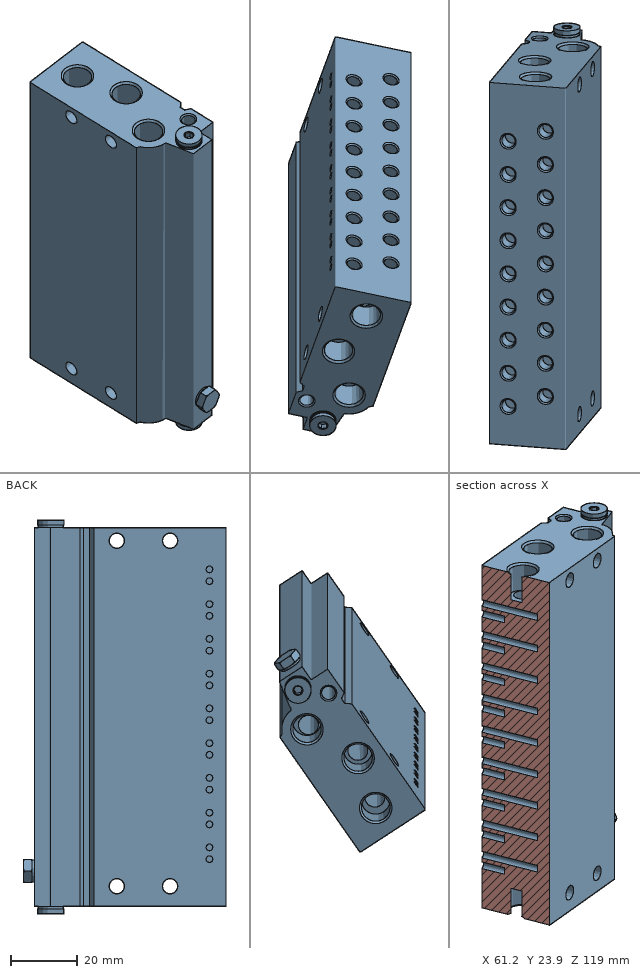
import cadquery as cq
import math

block_width = 57.9
block_depth = 23.9
block_height = 114.5
rear_face_end = 53.0
ledge_y = 17.9
ledge_front_y = 9.6
slope_start = (48.5, 7.6)
front_face_end = 43.3
lobe_end = (43.9, 1.2)
corner_radius = 0.4
ledge_radius = 0.3

groove_left = 39.9
groove_right = 44.05
groove_depth = 1.7
groove_floor_left = 41.2
groove_floor_right = 43.0

channel_bore = 6.0
thread_bore = 8.57
thread_depth = 9.0
thread_mouth = 9.8
channels = [
    ((8.9, 11.7), (9.8, 12.0)),
    ((24.8, 16.0), (24.8, 15.9)),
    ((40.9, 8.2), (39.8, 8.0)),
]
lobe_centre = channels[2][0]
lobe_radius = math.dist(lobe_centre, slope_start)

small_bore = 4.13
small_mouth = 5.0
pilot_centre = (46.6, 19.9)

mount_bore = 4.5
mount_xs = (16.9, 33.0)
mount_zs = (6.1, 110.5)

port_count = 9
port_pitch = 10.5
port_depth = 5.0
feed_bore = 2.0
port_rows = [
    (6.4, 16.35, 1.5),
    (18.0, 12.3, 2.0),
]

plug_diameter = 8.0
plug_centre = (52.95, 13.05)
plug_projection = 2.25
plug_neck_diameter = 7.6
plug_neck_length = 0.75
plug_insertion = 5.0
socket_size = 2.5
socket_mouth = 3.0
socket_depth = 2.0

hex_size = 7.0
hex_length = 2.6
hex_chamfer = 0.3
hex_neck_diameter = 6.7
hex_shank_diameter = small_bore
hex_shank_length = 3.0
hex_end = 61.2
hex_start = hex_end - hex_length
hex_y = 13.85
hex_z = 10.7

HEX_CORNER_RATIO = 2 / math.sqrt(3)


def cylinder(origin, direction, diameter, length):
    return cq.Workplane(
        cq.Solid.makeCylinder(diameter / 2, length, cq.Vector(*origin), cq.Vector(*direction))
    )


def countersink(origin, direction, mouth, bore):
    """45 degree cone from the mouth diameter down to the bore diameter."""
    depth = (mouth - bore) / 2
    return cq.Workplane(
        cq.Solid.makeCone(mouth / 2, bore / 2, depth, cq.Vector(*origin), cq.Vector(*direction))
    )


def angle_on_lobe(point):
    return math.atan2(point[1] - lobe_centre[1], point[0] - lobe_centre[0])


def block_profile():
    middle_angle = (angle_on_lobe(slope_start) + angle_on_lobe(lobe_end)) / 2
    lobe_middle = (
        lobe_centre[0] + lobe_radius * math.cos(middle_angle),
        lobe_centre[1] + lobe_radius * math.sin(middle_angle),
    )
    groove_floor = block_depth - groove_depth
    return (
        cq.Workplane("XY")
        .moveTo(0, 0)
        .lineTo(front_face_end, 0)
        .lineTo(*lobe_end)
        .threePointArc(lobe_middle, slope_start)
        .lineTo(block_width, ledge_front_y)
        .lineTo(block_width, ledge_y)
        .lineTo(rear_face_end, ledge_y)
        .lineTo(rear_face_end, block_depth)
        .lineTo(groove_right, block_depth)
        .lineTo(groove_floor_right, groove_floor)
        .lineTo(groove_floor_left, groove_floor)
        .lineTo(groove_left, block_depth)
        .lineTo(0, block_depth)
        .close()
    )


def fillet_long_edge(block, corner, radius):
    middle = (*corner, block_height / 2)
    return block.edges("|Z").edges(cq.selectors.NearestToPointSelector(middle)).fillet(radius)


def make_block():
    block = block_profile().extrude(block_height)
    for corner in [(0, 0), (0, block_depth)]:
        block = fillet_long_edge(block, corner, corner_radius)
    for corner in [lobe_end, slope_start, (block_width, ledge_front_y), (rear_face_end, ledge_y)]:
        block = fillet_long_edge(block, corner, ledge_radius)
    ends = [(0, (0, 0, 1)), (block_height, (0, 0, -1))]

    for thread_centre, channel_centre in channels:
        block = block.cut(cylinder((*channel_centre, 0), (0, 0, 1), channel_bore, block_height))
        for end_z, inward in ends:
            mouth = (*thread_centre, end_z)
            block = block.cut(cylinder(mouth, inward, thread_bore, thread_depth))
            block = block.cut(countersink(mouth, inward, thread_mouth, thread_bore))

    block = block.cut(cylinder((*pilot_centre, 0), (0, 0, 1), small_bore, block_height))
    for end_z, inward in ends:
        block = block.cut(countersink((*pilot_centre, end_z), inward, small_mouth, small_bore))
        block = block.cut(cylinder((*plug_centre, end_z), inward, plug_diameter, plug_insertion))

    for x in mount_xs:
        for z in mount_zs:
            block = block.cut(cylinder((x, 0, z), (0, 1, 0), mount_bore, block_depth))

    for port_y, first_z, feed_rise in port_rows:
        for i in range(port_count):
            z = first_z + i * port_pitch
            block = block.cut(cylinder((0, port_y, z), (1, 0, 0), small_bore, port_depth))
            block = block.cut(countersink((0, port_y, z), (1, 0, 0), small_mouth, small_bore))
            feed_length = block_depth - port_y + small_bore / 2
            feed_top = (port_depth, block_depth, z + feed_rise)
            block = block.cut(cylinder(feed_top, (0, -1, 0), feed_bore, feed_length))

    shank_mouth = (block_width, hex_y, hex_z)
    return block.cut(cylinder(shank_mouth, (-1, 0, 0), hex_shank_diameter, hex_shank_length))


def make_end_plug(end_z, outward):
    """Plug with a hex socket; outward is +1 or -1 along Z."""
    outward_axis = (0, 0, outward)
    inward_axis = (0, 0, -outward)
    outer_z = end_z + outward * plug_projection
    body = cylinder((*plug_centre, end_z), inward_axis, plug_diameter, plug_insertion)
    neck = cylinder((*plug_centre, end_z), outward_axis, plug_neck_diameter, plug_neck_length)
    head_length = plug_projection - plug_neck_length
    head = cylinder((*plug_centre, outer_z), inward_axis, plug_diameter, head_length)
    plug = body.union(neck).union(head)
    socket = (
        cq.Workplane("XY", origin=(*plug_centre, outer_z))
        .polygon(6, socket_size * HEX_CORNER_RATIO)
        .extrude(-outward * socket_depth)
    )
    plug = plug.cut(socket)
    return plug.cut(countersink((*plug_centre, outer_z), inward_axis, socket_mouth, socket_size))


def make_hex_screw():
    corner_diameter = hex_size * HEX_CORNER_RATIO
    head = (
        cq.Workplane("YZ", origin=(hex_start, hex_y, hex_z))
        .polygon(6, corner_diameter)
        .extrude(hex_length)
    )
    disc = cylinder((hex_start, hex_y, hex_z), (1, 0, 0), corner_diameter, hex_length)
    head = head.intersect(disc.edges().chamfer(hex_chamfer))
    neck = cylinder((block_width, hex_y, hex_z), (1, 0, 0), hex_neck_diameter, hex_start - block_width)
    shank = cylinder((block_width, hex_y, hex_z), (-1, 0, 0), hex_shank_diameter, hex_shank_length)
    return head.union(neck).union(shank)


block = make_block()
bottom_plug = make_end_plug(0, -1)
top_plug = make_end_plug(block_height, 1)
hex_screw = make_hex_screw()

result = cq.Compound.makeCompound([block.val(), bottom_plug.val(), top_plug.val(), hex_screw.val()])